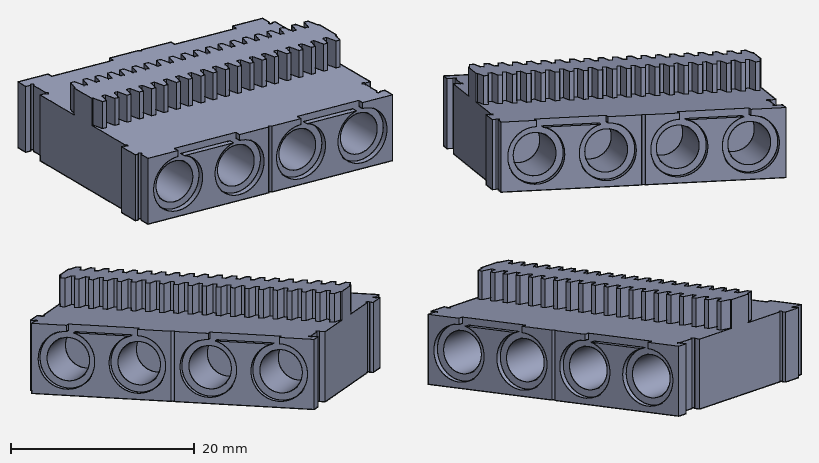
import cadquery as cq

total_length = 33.2
block_width = 25.6
block_length = 32.0
block_height = 7.8
half_width = block_width / 2
half_length = block_length / 2

total_height = 11.0
rack_height = total_height - block_height
tooth_count = 20
tooth_span = 30.5
tooth_pitch = tooth_span / (tooth_count - 1)
rack_tip_width = 6.3
rack_root_width = 3.52
tip_flat = 0.53
root_flat = 0.43

hole_count = 4
hole_pitch = 8.05
hole_diameter = 4.8
hole_depth = 8.0
counterbore_diameter = 6.4
counterbore_depth = 0.73
hole_height = block_height / 2
hole_rows = [(index - (hole_count - 1) / 2) * hole_pitch for index in range(hole_count)]

slot_depth_from_top = 0.8

tab_offset = 1.55
tab_width = 2.75
tab_length = (total_length - block_length) / 2
notch_width = 2.82
notch_depth = 0.85
relief_radius = 0.2


def box_between(x_range, y_range, z_range):
    """Box spanning the given low and high limits on each axis."""
    sizes = [high - low for low, high in (x_range, y_range, z_range)]
    corner = (x_range[0], y_range[0], z_range[0])
    return cq.Workplane("XY").box(*sizes, centered=False).translate(corner)


def half_turn(body):
    """Copy of a body turned 180 degrees about Z."""
    return body.rotate((0, 0, 0), (0, 0, 1), 180)


def vertical_reliefs(points):
    """Full-height round cutters at the given XY points."""
    return cq.Workplane("XY").pushPoints(points).circle(relief_radius).extrude(block_height)


def gear_rack():
    """Rack with straight-flanked teeth on both X sides."""
    root_x = rack_root_width / 2
    tip_x = rack_tip_width / 2
    root_half = (tooth_pitch - root_flat) / 2
    tip_half = tip_flat / 2
    right_side = [(root_x, -half_length)]
    for index in range(tooth_count):
        center = -tooth_span / 2 + index * tooth_pitch
        right_side += [
            (root_x, center - root_half),
            (tip_x, center - tip_half),
            (tip_x, center + tip_half),
            (root_x, center + root_half),
        ]
    right_side.append((root_x, half_length))
    left_side = [(-x, y) for x, y in reversed(right_side)]
    outline = cq.Workplane("XY").workplane(offset=block_height).polyline(right_side + left_side)
    return outline.close().extrude(rack_height)


def side_cutters():
    """Holes, counterbores and slots of the -X side."""
    row_points = [(y, hole_height) for y in hole_rows]
    side = cq.Workplane("YZ", origin=(-half_width, 0, 0)).pushPoints(row_points)
    cutters = side.circle(hole_diameter / 2).extrude(hole_depth)
    cutters = cutters.union(side.circle(counterbore_diameter / 2).extrude(counterbore_depth))
    for first, second in (hole_rows[:2], hole_rows[2:]):
        slot = box_between(
            (-half_width, -half_width + counterbore_depth),
            (first, second),
            (block_height - slot_depth_from_top, block_height),
        )
        cutters = cutters.union(slot)
    return cutters


tab_start = -half_width + tab_offset
tab_end = tab_start + tab_width
tab = box_between((tab_start, tab_end), (0, half_length + tab_length), (0, block_height))
result = cq.Workplane("XY").box(block_width, block_length, block_height, centered=(True, True, False))
result = result.union(tab).union(half_turn(tab))

notch_end = tab_start + notch_width
notch_floor = -half_length + notch_depth
notch = box_between((tab_start, notch_end), (-half_length, notch_floor), (0, block_height))
result = result.cut(notch).cut(half_turn(notch))

reliefs = vertical_reliefs([
    (tab_start, half_length),
    (tab_end, half_length),
    (tab_start, notch_floor),
    (notch_end, notch_floor),
    (-half_width, 0),
])
result = result.cut(reliefs).cut(half_turn(reliefs))

pin_holes = side_cutters()
result = result.cut(pin_holes).cut(half_turn(pin_holes))

result = result.union(gear_rack())